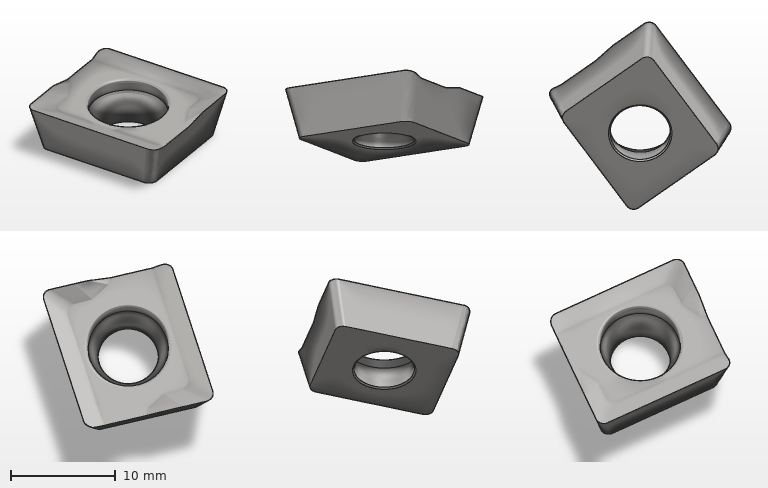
import cadquery as cq
import math

height = 4.75
overall_depth = 12.7
half_depth = overall_depth / 2
half_length = 7.55
lean_angle = math.radians(4.0)
side_lean = math.tan(lean_angle)
relief_angle = math.radians(11)
relief_inset = height * math.tan(relief_angle)
corner_radius = 0.79
obtuse_corner_radius = 0.94
corner_center_x = half_length - corner_radius
half_width = corner_center_x + corner_radius / math.cos(lean_angle) - (half_depth - corner_radius) * side_lean

floor_depth = 0.48
land_width = 1.78
floor_z = height - floor_depth
floor_half_depth = half_depth - land_width
floor_corner_x = -5.59
floor_corner_radius = 0.9
overrun = 9.36

floor_bend = (-5.48, -1.87)
floor_exit = (-6.4, 0.06)
floor_outside = (-overrun, 1.72)
rim_bend_y = -3.1
rim_exit_y = -1.77
rim_outside = (-overrun, -0.75)

mouth_radius = 4.15
counterbore_radius = 3.84
mouth_round = mouth_radius - counterbore_radius
counterbore_depth = 1.13
seat_radius = 3.65
seat_top_depth = counterbore_depth + 0.25
throat_radius = 2.88
throat_depth = 3.22
exit_chamfer = 0.15


def side_x(half_width_at_centre, y):
    """X of the leaning -X side line at a given y."""
    return -half_width_at_centre + y * side_lean


def corner_arc(corner, before, after, radius):
    """Start, middle and end of an arc rounding a corner between two neighbours."""
    corner = cq.Vector(*corner)
    to_before = (cq.Vector(*before) - corner).normalized()
    to_after = (cq.Vector(*after) - corner).normalized()
    half_angle = to_before.getAngle(to_after) / 2
    setback = radius / math.tan(half_angle)
    bisector = (to_before + to_after).normalized()
    middle = corner + bisector * (radius / math.sin(half_angle) - radius)
    return corner + to_before * setback, middle, corner + to_after * setback


def half_turn(point):
    """The point rotated 180 degrees about the Z axis."""
    return cq.Vector(-point.x, -point.y, point.z)


def symmetric_wire(stations):
    """Closed outline through stations (points or arcs), then through their half-turn copy."""
    full = stations + [tuple(half_turn(p) for p in station) for station in stations]
    edges = []
    for station, following in zip(full, full[1:] + full[:1]):
        if len(station) > 1:
            edges.append(cq.Edge.makeThreePointArc(*station))
        edges.append(cq.Edge.makeLine(station[-1], following[0]))
    return cq.Wire.assembleEdges(edges)


def body_wire(inset, z):
    """Rounded parallelogram outline, inset from the top outline."""
    depth = half_depth - inset
    width = half_width - inset / math.cos(lean_angle)
    back_left = (side_x(width, depth), depth, z)
    front_left = (side_x(width, -depth), -depth, z)
    front_right = (-back_left[0], -depth, z)
    back_right = (-front_left[0], depth, z)
    back_arc = corner_arc(back_left, back_right, front_left, obtuse_corner_radius)
    front_arc = corner_arc(front_left, back_left, front_right, corner_radius)
    return symmetric_wire([back_arc, front_arc])


def recess_wire(depth, corner_x, z, radius, side_points):
    """Recess outline: open past the back-left corner, rounded at the front-left one."""
    front_left = (corner_x, -depth, z)
    start = (-overrun, depth, z)
    points = [start] + [(x, y, z) for x, y in side_points]
    arc = corner_arc(front_left, points[-1], (0, -depth, z), radius)
    return symmetric_wire([(cq.Vector(*p),) for p in points] + [arc])


def make_body():
    top = body_wire(0, height)
    bottom = body_wire(relief_inset, 0)
    return cq.Workplane(cq.Solid.makeLoft([bottom, top], True))


def make_recess():
    floor_points = [floor_outside, floor_exit, floor_bend]
    rim_points = [rim_outside] + [(side_x(half_width, y), y) for y in (rim_exit_y, rim_bend_y)]
    floor = recess_wire(
        floor_half_depth, floor_corner_x, floor_z, floor_corner_radius, floor_points
    )
    rim = recess_wire(half_depth, side_x(half_width, -half_depth), height, corner_radius, rim_points)
    return cq.Workplane(cq.Solid.makeLoft([floor, rim], True))


def make_screw_hole():
    """Revolved hole: rounded mouth, counterbore, convex screw seat, throat and chamfered exit."""
    seat_rise = throat_depth - seat_top_depth
    seat_run = seat_radius - throat_radius
    seat_arc_radius = (seat_rise**2 + seat_run**2) / (2 * seat_run)
    half_sweep = math.asin(seat_rise / seat_arc_radius) / 2
    seat_middle = (
        throat_radius + seat_arc_radius * (1 - math.cos(half_sweep)),
        floor_z - throat_depth + seat_arc_radius * math.sin(half_sweep),
    )
    round_offset = mouth_round * (1 - math.sqrt(0.5))
    return (
        cq.Workplane("XZ")
        .lineTo(throat_radius + exit_chamfer, 0)
        .lineTo(throat_radius, exit_chamfer)
        .lineTo(throat_radius, floor_z - throat_depth)
        .threePointArc(seat_middle, (seat_radius, floor_z - seat_top_depth))
        .lineTo(counterbore_radius, floor_z - counterbore_depth)
        .lineTo(counterbore_radius, floor_z - mouth_round)
        .threePointArc(
            (counterbore_radius + round_offset, floor_z - round_offset), (mouth_radius, floor_z)
        )
        .lineTo(0, floor_z)
        .close()
        .revolve(360, (0, 0), (0, 1))
    )


result = make_body().cut(make_recess()).cut(make_screw_hole())